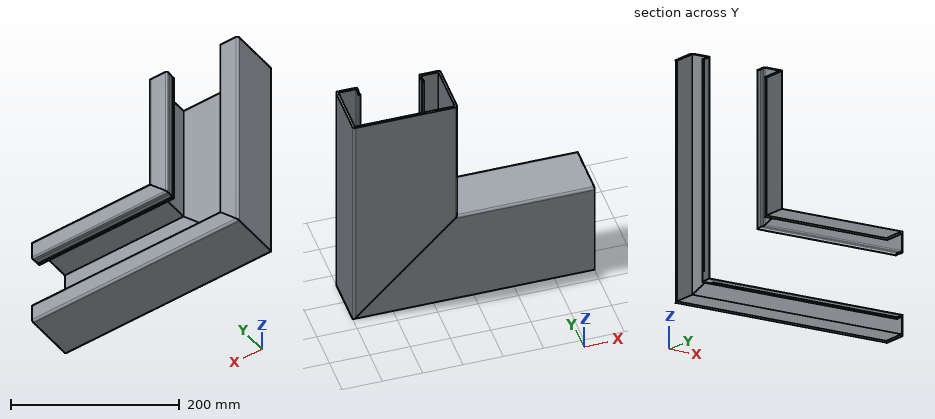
import cadquery as cq
import math

arm_length = 300.0
trunk_width = 130.0
trunk_depth = 70.0
wall = 3.0
outer_radius = 3.0

strip_width = 26.7
lip_wall = 2.0
lip_depth = 15.0
lip_radius = 2.0
inner_radius = 1.2
tip_radius = 2.5
slot_bend = 5.0
hidden_bend = 6.5
lean_angle = 5.0

hook_depth = 12.0
hook_ramp = 1.0
hook_start = 38.7

middle = trunk_width / 2
back = trunk_depth
tip = back - lip_depth
lean = math.tan(math.radians(lean_angle))
lip_hidden = strip_width - lip_wall
hook_root = strip_width - lean * (hook_depth - slot_bend)
tip_slot_side = strip_width - lean * (lip_depth - slot_bend)
tip_hidden_side = lip_hidden - lean * (lip_depth - tip_radius - hidden_bend)
arc_offset = 1 - math.sqrt(0.5)


def half_channel():
    """Left half of the upright channel, square at both ends."""
    outer_gap = outer_radius * arc_offset
    lip_gap = lip_radius * arc_offset
    inner_gap = inner_radius * arc_offset
    tip_gap = tip_radius * arc_offset
    return (
        cq.Workplane("XY")
        .moveTo(middle, 0)
        .lineTo(outer_radius, 0)
        .threePointArc((outer_gap, outer_gap), (0, outer_radius))
        .lineTo(0, back - outer_radius)
        .threePointArc((outer_gap, back - outer_gap), (outer_radius, back))
        .lineTo(strip_width - lip_radius, back)
        .threePointArc((strip_width - lip_gap, back - lip_gap), (strip_width, back - lip_radius))
        .lineTo(strip_width, back - slot_bend)
        .lineTo(hook_root, back - hook_depth)
        .lineTo(strip_width, back - hook_depth - hook_ramp)
        .lineTo(strip_width, tip)
        .lineTo(tip_hidden_side + tip_radius, tip)
        .threePointArc((tip_hidden_side + tip_gap, tip + tip_gap), (tip_hidden_side, tip + tip_radius))
        .lineTo(lip_hidden, back - hidden_bend)
        .lineTo(lip_hidden, back - wall - inner_radius)
        .threePointArc(
            (lip_hidden - inner_gap, back - wall - inner_gap),
            (lip_hidden - inner_radius, back - wall),
        )
        .lineTo(wall, back - wall)
        .lineTo(wall, wall)
        .lineTo(middle, wall)
        .close()
        .extrude(arm_length)
    )


def hook_notch():
    """Wedge beyond the leaning face that removes the left hook below `hook_start`."""
    return (
        cq.Workplane("XY")
        .moveTo(strip_width, back - slot_bend)
        .lineTo(tip_slot_side, tip)
        .lineTo(strip_width, tip)
        .close()
        .extrude(hook_start)
    )


def mirrored_across(half):
    """Copy of a left-hand shape on the right-hand side of the channel."""
    return half.mirror("YZ").translate((trunk_width, 0, 0))


def upright_arm():
    """Channel along Z, mitred at its lower end on the plane Z = X."""
    outer_half = half_channel().cut(hook_notch())
    inner_half = mirrored_across(half_channel())
    below_mitre = (
        cq.Workplane("XZ")
        .polyline([(0, 0), (trunk_width, trunk_width), (trunk_width, 0)])
        .close()
        .extrude(-trunk_depth)
    )
    return outer_half.union(inner_half).cut(below_mitre)


def level_arm():
    """Channel along X: the upright arm mirrored across the mitre plane Z = X."""
    mitre_normal = cq.Vector(1, 0, -1)
    return cq.Workplane(upright_arm().solids().val().mirror(mitre_normal, cq.Vector(0, 0, 0)))


upright = upright_arm().solids()
level = level_arm()

result = cq.Compound.makeCompound([*upright.vals(), *level.vals()])